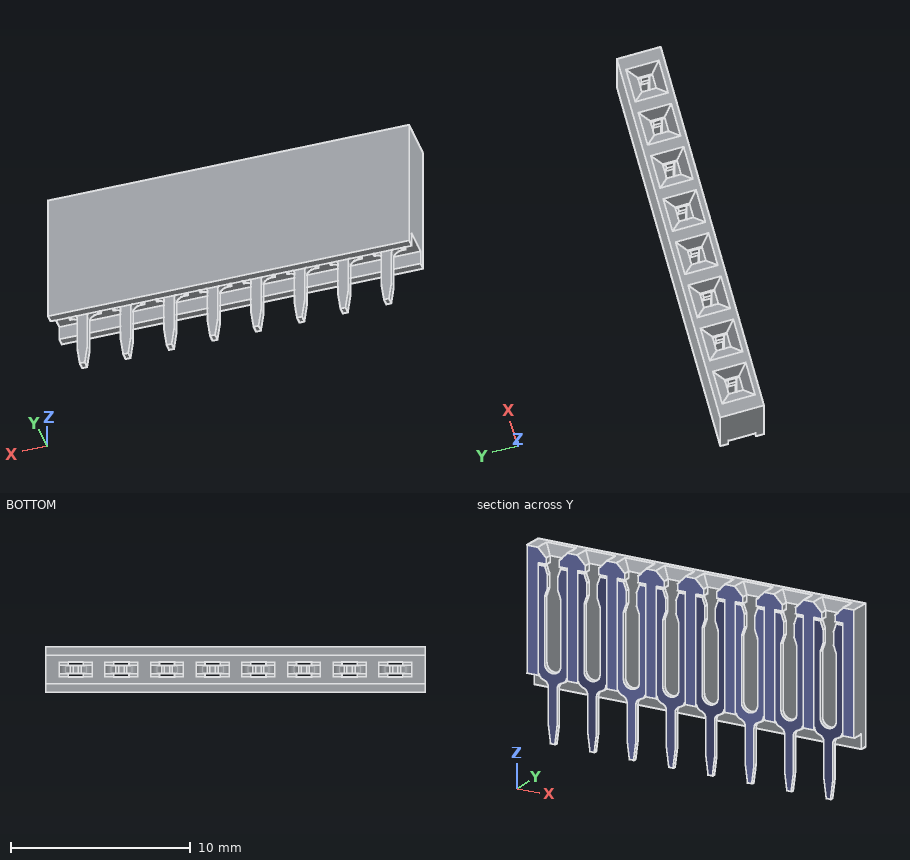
import cadquery as cq
import math

CONTACT_COUNT = 8
PITCH = 2.54
END_ALLOWANCE = 0.8
BODY_LENGTH = CONTACT_COUNT * PITCH + END_ALLOWANCE
BODY_WIDTH = 2.54
BODY_HEIGHT = 8.5

CHANNEL_WIDTH = 1.6
CHANNEL_HEIGHT = 0.9

FUNNEL_SIZE = 1.9
THROAT_SIZE = 0.83
FUNNEL_DEPTH = (FUNNEL_SIZE - THROAT_SIZE) / 2
THROAT_DEPTH = 0.4
CAVITY_TOP = BODY_HEIGHT - FUNNEL_DEPTH - THROAT_DEPTH

CONTACT_THICKNESS = 0.45
TAIL_WIDTH = 0.6
TAIL_TIP_WIDTH = 0.3
TAIL_LENGTH = 3.0
TAIL_TAPER_LENGTH = 1.15

FLARE_START = 0.33
FLARE_ANGLE = math.radians(75)
FLARE_INNER_RADIUS = 0.38
FLARE_OUTER_RADIUS = 0.45
FLARE_RADII = FLARE_INNER_RADIUS + FLARE_OUTER_RADIUS
FORK_WIDTH = TAIL_WIDTH + 2 * FLARE_RADII * (1 - math.cos(FLARE_ANGLE))
FLARE_END = FLARE_START + FLARE_RADII * math.sin(FLARE_ANGLE)

GAP_RADIUS = 0.5
GAP_BOTTOM = 1.2
GAP_CENTER = GAP_BOTTOM + GAP_RADIUS
PRONG_CLEARANCE = 0.1
PRONG_TOP = CAVITY_TOP - PRONG_CLEARANCE
PAD_HALF_GAP = 0.32
PAD_HEIGHT = 0.8
PAD_SLOPE_HEIGHT = 0.5
PAD_TOP = PRONG_TOP - PAD_SLOPE_HEIGHT
PAD_BOTTOM = PAD_TOP - PAD_HEIGHT

contact_positions = [(i - (CONTACT_COUNT - 1) / 2) * PITCH for i in range(CONTACT_COUNT)]


def make_socket_cutter(x):
    """Funnel, throat and fork cavity of one socket."""
    funnel = (
        cq.Workplane("XY", origin=(x, 0, BODY_HEIGHT))
        .rect(FUNNEL_SIZE, FUNNEL_SIZE)
        .workplane(offset=-FUNNEL_DEPTH)
        .rect(THROAT_SIZE, THROAT_SIZE)
        .loft(ruled=True)
    )
    throat = (
        cq.Workplane("XY", origin=(x, 0, CAVITY_TOP))
        .rect(THROAT_SIZE, THROAT_SIZE)
        .extrude(THROAT_DEPTH)
    )
    cavity = (
        cq.Workplane("XY", origin=(x, 0, CHANNEL_HEIGHT))
        .rect(FORK_WIDTH, THROAT_SIZE)
        .extrude(CAVITY_TOP - CHANNEL_HEIGHT)
    )
    return funnel.union(throat).union(cavity)


def make_housing():
    housing = cq.Workplane("XY").box(BODY_LENGTH, BODY_WIDTH, BODY_HEIGHT, centered=(True, True, False))
    channel = cq.Workplane("XY").box(
        BODY_LENGTH, CHANNEL_WIDTH, CHANNEL_HEIGHT, centered=(True, True, False)
    )
    housing = housing.cut(channel)
    for x in contact_positions:
        housing = housing.cut(make_socket_cutter(x))
    return housing


def flare_points(side):
    """Lower arc midpoint, inflection, upper arc midpoint and end of one shoulder (side is 1 or -1)."""
    half_angle = FLARE_ANGLE / 2

    def lower(angle):
        x = TAIL_WIDTH / 2 + FLARE_INNER_RADIUS * (1 - math.cos(angle))
        return side * x, FLARE_START + FLARE_INNER_RADIUS * math.sin(angle)

    def upper(angle):
        x = FORK_WIDTH / 2 - FLARE_OUTER_RADIUS * (1 - math.cos(angle))
        return side * x, FLARE_END - FLARE_OUTER_RADIUS * math.sin(angle)

    return lower(half_angle), lower(FLARE_ANGLE), upper(half_angle), upper(0)


def make_contact(x):
    right_lower, right_inflection, right_upper, right_end = flare_points(1)
    left_lower, left_inflection, left_upper, left_end = flare_points(-1)
    return (
        cq.Workplane("XZ", origin=(x, 0, 0))
        .moveTo(-TAIL_TIP_WIDTH / 2, -TAIL_LENGTH)
        .lineTo(TAIL_TIP_WIDTH / 2, -TAIL_LENGTH)
        .lineTo(TAIL_WIDTH / 2, -TAIL_LENGTH + TAIL_TAPER_LENGTH)
        .lineTo(TAIL_WIDTH / 2, FLARE_START)
        .threePointArc(right_lower, right_inflection)
        .threePointArc(right_upper, right_end)
        .lineTo(FORK_WIDTH / 2, PRONG_TOP)
        .lineTo(GAP_RADIUS, PRONG_TOP)
        .lineTo(PAD_HALF_GAP, PAD_TOP)
        .lineTo(PAD_HALF_GAP, PAD_BOTTOM)
        .lineTo(GAP_RADIUS, PAD_BOTTOM - PAD_SLOPE_HEIGHT)
        .lineTo(GAP_RADIUS, GAP_CENTER)
        .threePointArc((0, GAP_BOTTOM), (-GAP_RADIUS, GAP_CENTER))
        .lineTo(-GAP_RADIUS, PAD_BOTTOM - PAD_SLOPE_HEIGHT)
        .lineTo(-PAD_HALF_GAP, PAD_BOTTOM)
        .lineTo(-PAD_HALF_GAP, PAD_TOP)
        .lineTo(-GAP_RADIUS, PRONG_TOP)
        .lineTo(-FORK_WIDTH / 2, PRONG_TOP)
        .lineTo(*left_end)
        .threePointArc(left_upper, left_inflection)
        .threePointArc(left_lower, (-TAIL_WIDTH / 2, FLARE_START))
        .lineTo(-TAIL_WIDTH / 2, -TAIL_LENGTH + TAIL_TAPER_LENGTH)
        .close()
        .extrude(CONTACT_THICKNESS / 2, both=True)
    )


housing = make_housing()
contacts = [make_contact(x) for x in contact_positions]

result = cq.Compound.makeCompound([housing.val(), *[contact.val() for contact in contacts]])